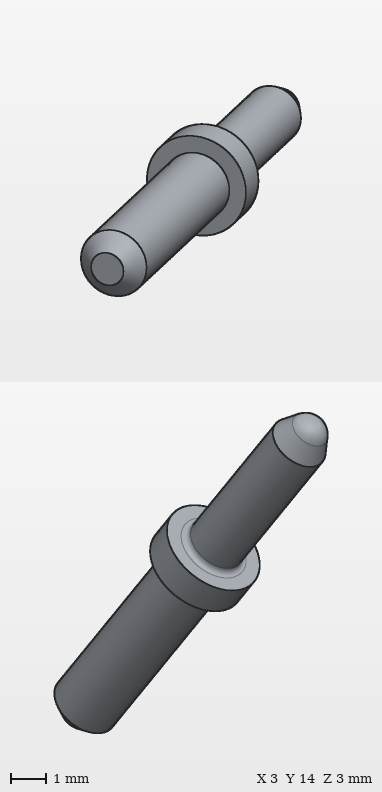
import cadquery as cq
import math

total_length = 14.0
front_length = 7.0
front_radius = 1.0
tip_chamfer = 0.5
collar_length = 1.0
collar_radius = 1.5
rear_radius = 0.85
root_fillet = 0.2
taper_length = 1.0
nose_radius = 0.63

front_y = -total_length / 2
rear_y = total_length / 2
collar_front_y = front_y + front_length
collar_rear_y = collar_front_y + collar_length
taper_y = rear_y - taper_length

nose_center_y = rear_y - nose_radius
nose_offset = nose_center_y - taper_y
taper_start_distance = math.hypot(rear_radius, nose_offset)
taper_angle = math.acos(nose_radius / taper_start_distance) - math.atan2(nose_offset, rear_radius)
cone_end_radius = nose_radius * math.cos(taper_angle)
cone_end_y = nose_center_y + nose_radius * math.sin(taper_angle)
nose_mid_angle = (math.pi / 2 + taper_angle) / 2
nose_mid = (
    nose_radius * math.cos(nose_mid_angle),
    nose_center_y + nose_radius * math.sin(nose_mid_angle),
)

fillet_inset = root_fillet * (1 - math.sqrt(0.5))
fillet_mid = (rear_radius + fillet_inset, collar_rear_y + fillet_inset)

profile = (
    cq.Workplane("XY")
    .moveTo(0, front_y)
    .lineTo(front_radius - tip_chamfer, front_y)
    .lineTo(front_radius, front_y + tip_chamfer)
    .lineTo(front_radius, collar_front_y)
    .lineTo(collar_radius, collar_front_y)
    .lineTo(collar_radius, collar_rear_y)
    .lineTo(rear_radius + root_fillet, collar_rear_y)
    .threePointArc(fillet_mid, (rear_radius, collar_rear_y + root_fillet))
    .lineTo(rear_radius, taper_y)
    .lineTo(cone_end_radius, cone_end_y)
    .threePointArc(nose_mid, (0, rear_y))
    .close()
)

result = profile.revolve(360, (0, 0, 0), (0, 1, 0))